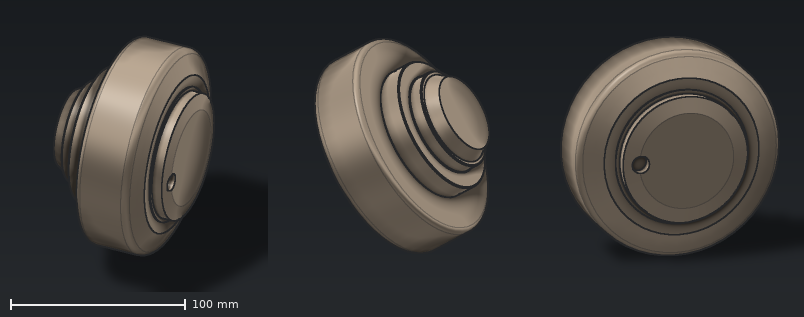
import cadquery as cq
import math

TIP_CONE_LENGTH = 7.6
COLLAR_START = 15.7
HUB_START = 16.2
ROLLER_START = 30.0
ROLLER_END = 67.0
CAP_START = 67.8
CAP_CONE_START = 73.9
TOTAL_LENGTH = 75.8

TIP_RADIUS = 23.0
TIP_CONE_RADIUS = 27.4
JOURNAL_RADIUS = 30.0
COLLAR_RADIUS = 30.5
HUB_RADIUS = 40.0
ROLLER_RADIUS = 61.5
ROLLER_END_RADIUS = 46.7
CAP_RADIUS = 37.6
CAP_END_RADIUS = 28.4

POCKET_RADIUS = 5.0
POCKET_OFFSET = 27.3
POCKET_DEPTH = 6.2

EDGE_CHAMFER = 0.6
FRONT_FILLET = 3.0
SHOULDER_FILLET = 4.5
SHOULDER_ANGLE = math.radians(70)


def turned_disc(start, end, radius):
    """Solid cylinder along X between two axial stations."""
    return cq.Workplane("YZ", origin=(start, 0, 0)).circle(radius).extrude(end - start)


def turned_cone(start, end, start_radius, end_radius):
    """Solid truncated cone along X between two axial stations."""
    outline = [(start, 0), (start, start_radius), (end, end_radius), (end, 0)]
    return cq.Workplane("XY").polyline(outline).close().revolve(360, (0, 0, 0), (1, 0, 0))


def make_roller():
    """Roller with a rounded front rim and a tapered, blended rear shoulder."""
    taper_length = (ROLLER_RADIUS - ROLLER_END_RADIUS) / math.tan(SHOULDER_ANGLE)
    tangent_length = SHOULDER_FILLET * math.tan(SHOULDER_ANGLE / 2)
    corner_x = ROLLER_END - taper_length
    arc_start_x = corner_x - tangent_length
    arc_center_radius = ROLLER_RADIUS - SHOULDER_FILLET

    def shoulder_point(angle):
        return (
            arc_start_x + SHOULDER_FILLET * math.sin(angle),
            arc_center_radius + SHOULDER_FILLET * math.cos(angle),
        )

    front_arc_offset = FRONT_FILLET * (1 - math.sqrt(0.5))
    profile = (
        cq.Workplane("XY")
        .moveTo(ROLLER_START, 0)
        .lineTo(ROLLER_START, ROLLER_RADIUS - FRONT_FILLET)
        .threePointArc(
            (ROLLER_START + front_arc_offset, ROLLER_RADIUS - front_arc_offset),
            (ROLLER_START + FRONT_FILLET, ROLLER_RADIUS),
        )
        .lineTo(arc_start_x, ROLLER_RADIUS)
        .threePointArc(shoulder_point(SHOULDER_ANGLE / 2), shoulder_point(SHOULDER_ANGLE))
        .lineTo(ROLLER_END, ROLLER_END_RADIUS)
        .lineTo(ROLLER_END, 0)
        .close()
    )
    return profile.revolve(360, (0, 0, 0), (1, 0, 0))


tip = turned_cone(0, TIP_CONE_LENGTH, TIP_RADIUS, TIP_CONE_RADIUS)
journal = turned_disc(TIP_CONE_LENGTH, COLLAR_START, JOURNAL_RADIUS).faces("<X").chamfer(EDGE_CHAMFER)
collar = turned_disc(COLLAR_START, HUB_START, COLLAR_RADIUS)
hub = turned_disc(HUB_START, ROLLER_START, HUB_RADIUS).faces("<X or >X").chamfer(EDGE_CHAMFER)

flange = turned_disc(ROLLER_END, CAP_START, HUB_RADIUS)
cap = turned_disc(CAP_START, CAP_CONE_START, CAP_RADIUS)
cap_cone = turned_cone(CAP_CONE_START, TOTAL_LENGTH, CAP_RADIUS, CAP_END_RADIUS)

result = make_roller()
for section in (tip, journal, collar, hub, flange, cap, cap_cone):
    result = result.union(section)

pocket = (
    cq.Workplane("YZ", origin=(TOTAL_LENGTH, 0, 0))
    .center(-POCKET_OFFSET, 0)
    .circle(POCKET_RADIUS)
    .extrude(-POCKET_DEPTH)
)
result = result.cut(pocket)